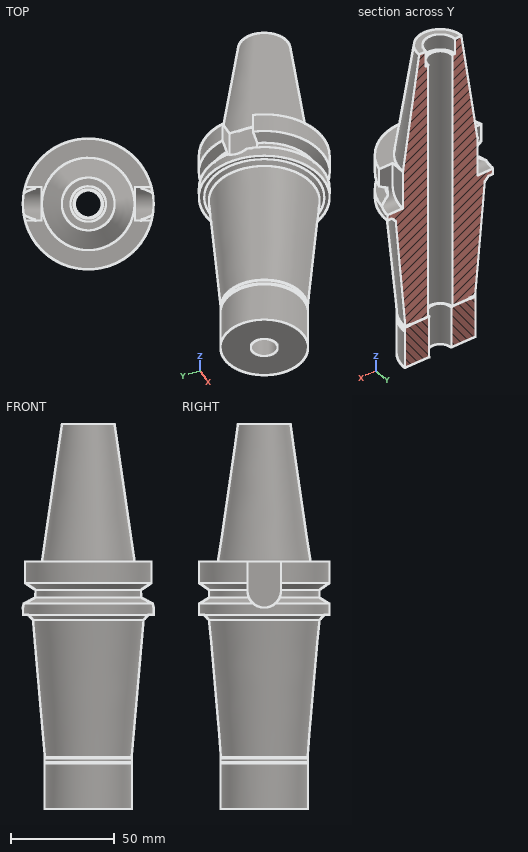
import cadquery as cq

total_height = 185.4
shank_length = 65.5
gauge_height = total_height - shank_length
collar_length = 0.7
flange_top = gauge_height - collar_length
upper_rim_bottom = 108.8
groove_top = 105.5
groove_bottom = 101.8
lower_rim_top = 98.8
lower_rim_bottom = 93.5
flange_bottom = 91.0
gap_height = 0.5
nut_height = 24.5
barrel_bottom = nut_height + gap_height

shank_large_radius = 22.2
shank_taper = 7 / 24
shank_small_radius = shank_large_radius - shank_length * shank_taper / 2
flange_radius = 31.5
v_groove_radius = 26.7
lower_chamfer_radius = 29.0
barrel_top_radius = 26.7
barrel_bottom_radius = 21.0
neck_radius = 17.6
nut_radius = 21.1

mouth_radius = 8.5
mouth_depth = 9.0
holder_bore_radius = 7.0
nut_bore_radius = 6.5

slot_width = 16.1
slot_depth = 22.2
slot_floor_offset = 22.5

nut_groove_bottom = 22.0
nut_groove_width = 0.5
nut_groove_depth = 0.1


def cylinder(radius, bottom, height):
    """Upright cylinder on the Z axis."""
    return cq.Workplane("XY").workplane(offset=bottom).circle(radius).extrude(height)


def make_holder_blank():
    """Revolved taper shank, V-groove flange, conical barrel and neck."""
    profile = [
        (0, total_height),
        (shank_small_radius, total_height),
        (shank_large_radius, gauge_height),
        (shank_large_radius, flange_top),
        (flange_radius, flange_top),
        (flange_radius, upper_rim_bottom),
        (v_groove_radius, groove_top),
        (v_groove_radius, groove_bottom),
        (flange_radius, lower_rim_top),
        (flange_radius, lower_rim_bottom),
        (lower_chamfer_radius, lower_rim_bottom),
        (barrel_top_radius, flange_bottom),
        (barrel_bottom_radius, barrel_bottom),
        (neck_radius, barrel_bottom),
        (neck_radius, nut_height),
        (0, nut_height),
    ]
    return cq.Workplane("XZ").polyline(profile).close().revolve(360, (0, 0), (0, 1))


def make_drive_slot(side):
    """Round-bottomed slot cutter on the +X (side = 1) or -X (side = -1) flank."""
    half_width = slot_width / 2
    slot_bottom = flange_top - slot_depth
    arc_center_height = slot_bottom + half_width
    reach = flange_radius - slot_floor_offset
    return (
        cq.Workplane("YZ")
        .workplane(offset=side * slot_floor_offset)
        .moveTo(-half_width, flange_top)
        .lineTo(-half_width, arc_center_height)
        .threePointArc((0, slot_bottom), (half_width, arc_center_height))
        .lineTo(half_width, flange_top)
        .close()
        .extrude(side * reach)
    )


def make_holder():
    holder = make_holder_blank()
    for side in (-1, 1):
        holder = holder.cut(make_drive_slot(side))
    holder = holder.cut(cylinder(holder_bore_radius, nut_height, total_height - nut_height))
    return holder.cut(cylinder(mouth_radius, total_height - mouth_depth, mouth_depth))


def make_nut():
    """Clamping nut seated against the neck of the holder."""
    nut = cylinder(nut_radius, 0, nut_height)
    groove = cylinder(nut_radius, nut_groove_bottom, nut_groove_width).cut(
        cylinder(nut_radius - nut_groove_depth, nut_groove_bottom, nut_groove_width)
    )
    return nut.cut(groove).cut(cylinder(nut_bore_radius, 0, nut_height))


holder = make_holder()
nut = make_nut()

result = cq.Compound.makeCompound([holder.val(), nut.val()])